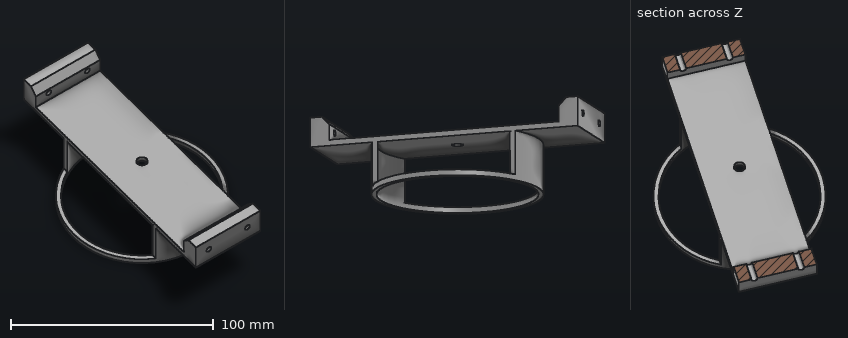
import cadquery as cq

length = 140.0
width = 40.0
total_height = 40.0
plate_thickness = 3.0
block_length = 10.0
block_height = 15.0
chamfer_length = 3.9
chamfer_height = 4.0
center_hole_diameter = 5.5
screw_hole_diameter = 3.0
screw_hole_spacing = 24.0
screw_hole_height = 8.1
ring_outer_diameter = 85.0
ring_inner_diameter = 80.0
ring_height = 3.0

plate_bottom = total_height - block_height


def make_ring(height):
    """Round tube standing on Z = 0."""
    return (
        cq.Workplane("XY")
        .circle(ring_outer_diameter / 2)
        .circle(ring_inner_diameter / 2)
        .extrude(height)
    )


def make_tray():
    """Plate with a raised end block at each end, chamfered on the inner top edge."""
    half_length = length / 2
    block_inner = half_length - block_length
    plate_top = plate_bottom + plate_thickness
    right_half = [
        (half_length, plate_bottom),
        (half_length, total_height),
        (block_inner + chamfer_length, total_height),
        (block_inner, total_height - chamfer_height),
        (block_inner, plate_top),
    ]
    left_half = [(-x, z) for x, z in reversed(right_half)]
    return (
        cq.Workplane("XZ")
        .polyline(right_half + left_half)
        .close()
        .extrude(width / 2, both=True)
    )


def make_walls():
    """Two curved walls: the part of a tall tube that lies below the plate."""
    plate_footprint = cq.Workplane("XY").rect(length, width).extrude(plate_bottom)
    return make_ring(plate_bottom).intersect(plate_footprint)


def make_center_hole():
    """Cutter for the hole through the middle of the plate."""
    return cq.Workplane("XY").circle(center_hole_diameter / 2).extrude(total_height)


def make_screw_holes():
    """Cutter for the pair of holes running along X through both end blocks."""
    half_spacing = screw_hole_spacing / 2
    hole_z = plate_bottom + screw_hole_height
    return (
        cq.Workplane("YZ")
        .pushPoints([(-half_spacing, hole_z), (half_spacing, hole_z)])
        .circle(screw_hole_diameter / 2)
        .extrude(length / 2, both=True)
    )


body = make_tray().union(make_walls()).union(make_ring(ring_height))
result = body.cut(make_center_hole()).cut(make_screw_holes())